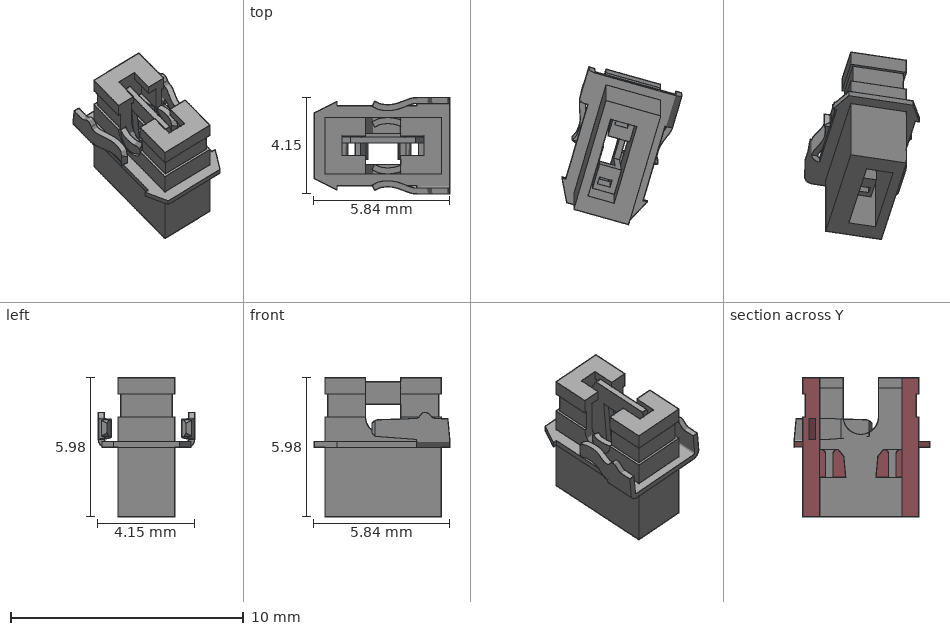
import cadquery as cq
import math

housing_length = 5.0
housing_width = 2.45
housing_height = 5.98
shoulder_z = 4.30
cap_z = 5.27
neck_inset = 0.11

notch_half_width = 0.755

cavity_half_length = 1.76
cap_slot_front_y = -0.41
cap_slot_back_y = 0.42
cavity_front_y = -0.80
cavity_back_y = 0.52
cavity_top_z = housing_height - 0.435
cavity_ledge_z = 3.30

sheet = 0.26
flange_z = 2.98
flange_half_width = 1.73
flange_left_x = -2.97
flange_right_x = 2.87
barb_x = -1.98
barb_half_width = 1.91
nose_half_width = 1.41

tab_outer_y = 2.075
tab_start_x = 1.44
tab_top_z = 4.225
tab_top_right_x = 2.785
hump_end_x = 2.28
bend_outer_radius = tab_outer_y - flange_half_width
bend_inner_radius = bend_outer_radius - sheet
bend_axis_z = flange_z + bend_outer_radius
tab_inner_y = tab_outer_y - sheet

bow_apex_x = 0.20
bow_apex_y = 1.51
bow_end_x = 0.67
bend_start_x = 1.11
arm_slope = math.radians(20)
tip_slope = math.radians(28)
tip_start_x = -0.16
tip_end_x = -0.36
tip_round_start = (tip_start_x, 4.18)
tip_round_middle = (-0.44, 4.07)
tip_round_end = (-0.55, 3.85)
tip_lower_corner = (-0.53, 3.65)
tip_foot = (-0.34, 3.46)

arm_mirror_y = 1.36
bridge_inner_x = 1.95
bridge_outer_x = bridge_inner_x + sheet

bar_top_z = 5.81
bar_bottom_z = 4.83
bar_half_length = 1.40
shoulder_drop = 0.67
leg_top_inner_x = 0.93
leg_bottom_inner_x = 0.645
plate_front_y = 0.11
plate_back_y = plate_front_y + sheet

socket_top_z = 2.90
socket_bottom_z = 1.70
socket_front_y = -0.60
socket_slot_start_x = 1.20
socket_slot_end_x = 1.51
socket_slot_front_y = -0.45
socket_lead_in = 0.2
prong_ridge_x = 0.98
prong_shoulder_z = 2.60


def block(x_range, y_range, z_range):
    """Box given by its limits along each axis."""
    (x0, x1), (y0, y1), (z0, z1) = x_range, y_range, z_range
    return cq.Workplane("XY").box(x1 - x0, y1 - y0, z1 - z0, centered=False).translate((x0, y0, z0))


def centred_block(length, width, z0, z1):
    return block((-length / 2, length / 2), (-width / 2, width / 2), (z0, z1))


def extrude_along_y(profile, y_range):
    """Extrude a closed XZ sketch between two Y positions."""
    y0, y1 = y_range
    return profile.extrude(-(y1 - y0)).translate((0, y0, 0))


def arm_plan():
    """Plan outline of the arm on the +Y side: flared tip, bow, straight run and bend into the tab."""
    outer_bow = (bow_end_x - bow_apex_x) / math.sin(arm_slope)
    inner_bow = outer_bow + sheet
    bow_centre_y = bow_apex_y + inner_bow

    def on_bow(radius, angle):
        return (bow_apex_x + radius * math.sin(angle), bow_centre_y - radius * math.cos(angle))

    outer_bend = (tab_start_x - bend_start_x) / math.sin(arm_slope)
    inner_bend = outer_bend - sheet
    bend_centre_y = tab_outer_y - outer_bend

    def on_bend(radius, angle):
        return (tab_start_x - radius * math.sin(angle), bend_centre_y + radius * math.cos(angle))

    tip_start_angle = math.asin((tip_start_x - bow_apex_x) / outer_bow)
    tip_length = (tip_start_x - tip_end_x) / math.cos(tip_slope)
    outer_tip_start = on_bow(outer_bow, tip_start_angle)
    outer_tip_end = (tip_end_x, outer_tip_start[1] + tip_length * math.sin(tip_slope))
    inner_tip_end = (
        outer_tip_end[0] - sheet * math.sin(tip_slope),
        outer_tip_end[1] - sheet * math.cos(tip_slope),
    )

    return (
        cq.Workplane("XY")
        .moveTo(*inner_tip_end)
        .lineTo(*on_bow(inner_bow, tip_start_angle))
        .threePointArc((bow_apex_x, bow_apex_y), on_bow(inner_bow, arm_slope))
        .lineTo(*on_bend(inner_bend, arm_slope))
        .threePointArc(on_bend(inner_bend, arm_slope / 2), (tab_start_x, tab_inner_y))
        .lineTo(tab_start_x, tab_outer_y)
        .threePointArc(on_bend(outer_bend, arm_slope / 2), on_bend(outer_bend, arm_slope))
        .lineTo(*on_bow(outer_bow, arm_slope))
        .threePointArc(on_bow(outer_bow, 0), outer_tip_start)
        .lineTo(*outer_tip_end)
        .close()
        .extrude(housing_height)
    )


def arm_side():
    """Side outline of the arm: slightly tapered strip with a rounded tip."""
    profile = (
        cq.Workplane("XZ")
        .moveTo(tab_start_x, bend_axis_z)
        .lineTo(*tip_foot)
        .lineTo(*tip_lower_corner)
        .lineTo(*tip_round_end)
        .threePointArc(tip_round_middle, tip_round_start)
        .lineTo(tab_start_x, tab_top_z)
        .close()
    )
    return extrude_along_y(profile, (0, tab_outer_y + sheet))


def spring_arm():
    return arm_plan().intersect(arm_side())


def flange():
    half_outline = [
        (flange_left_x, nose_half_width),
        (barb_x, barb_half_width),
        (barb_x, flange_half_width),
        (flange_right_x, flange_half_width),
    ]
    outline = half_outline + [(x, -y) for x, y in reversed(half_outline)]
    plate = cq.Workplane("XY").polyline(outline).close().extrude(sheet).translate((0, 0, flange_z))
    return plate.cut(centred_block(housing_length, housing_width, 0, housing_height))


def tab_bend():
    """Quarter-round bend joining the flange to a tab."""
    diagonal = math.sqrt(0.5)
    inner_mid = (
        flange_half_width + bend_inner_radius * diagonal,
        bend_axis_z - bend_inner_radius * diagonal,
    )
    outer_mid = (
        flange_half_width + bend_outer_radius * diagonal,
        bend_axis_z - bend_outer_radius * diagonal,
    )
    return (
        cq.Workplane("YZ")
        .moveTo(flange_half_width, flange_z)
        .threePointArc(outer_mid, (tab_outer_y, bend_axis_z))
        .lineTo(tab_inner_y, bend_axis_z)
        .threePointArc(inner_mid, (flange_half_width, flange_z + sheet))
        .close()
        .extrude(flange_right_x - tab_start_x)
        .translate((tab_start_x, 0, 0))
    )


def tab_plate():
    """Upright tab with a smooth hump on its top edge and a slanted end."""
    hump = [(2.08, 4.31), (1.86, 4.485), (1.71, 4.475), (1.53, 4.28), (tab_start_x, tab_top_z)]
    profile = (
        cq.Workplane("XZ")
        .moveTo(tab_start_x, bend_axis_z)
        .lineTo(flange_right_x, bend_axis_z)
        .lineTo(tab_top_right_x, tab_top_z)
        .lineTo(hump_end_x, tab_top_z)
        .spline(hump, includeCurrent=True)
        .close()
    )
    return extrude_along_y(profile, (tab_inner_y, tab_outer_y))


def make_clip():
    side = tab_bend().union(tab_plate()).union(spring_arm())
    return flange().union(side).union(side.mirror("XZ"))


def make_inner_clip():
    arm = spring_arm().mirror("XZ").translate((0, 2 * arm_mirror_y, 0))
    outer_y = 2 * arm_mirror_y - tab_inner_y
    inner_y = outer_y - sheet
    z_range = (bend_axis_z, tab_top_z)
    run = block((tab_start_x, bridge_outer_x), (inner_y, outer_y), z_range)
    bridge = block((bridge_inner_x, bridge_outer_x), (-outer_y, outer_y), z_range)
    side = arm.union(run)
    return bridge.union(side).union(side.mirror("XZ"))


def shunt_plate():
    shoulder_z_low = bar_top_z - shoulder_drop
    half_outline = [
        (bar_half_length, bar_top_z),
        (cavity_half_length, shoulder_z_low),
        (cavity_half_length, socket_bottom_z),
        (leg_bottom_inner_x, socket_bottom_z),
        (leg_top_inner_x, bar_bottom_z),
    ]
    outline = half_outline + [(-x, z) for x, z in reversed(half_outline)]
    return extrude_along_y(cq.Workplane("XZ").polyline(outline).close(), (plate_front_y, plate_back_y))


def socket():
    """Block in front of a leg, slotted from top to bottom, with rounded slot mouth."""
    lean = (leg_top_inner_x - leg_bottom_inner_x) / (bar_bottom_z - socket_bottom_z)
    shoulder_x = leg_bottom_inner_x + lean * (prong_shoulder_z - socket_bottom_z)
    corners = [
        (leg_bottom_inner_x, socket_bottom_z),
        (cavity_half_length, socket_bottom_z),
        (cavity_half_length, socket_top_z),
        (prong_ridge_x, socket_top_z),
        (shoulder_x, prong_shoulder_z),
    ]
    body = extrude_along_y(cq.Workplane("XZ").polyline(corners).close(), (socket_front_y, plate_front_y))
    slot = block(
        (socket_slot_start_x, socket_slot_end_x),
        (socket_slot_front_y, plate_front_y),
        (socket_bottom_z, socket_top_z),
    )
    mouth_edges = cq.selectors.BoxSelector(
        (socket_slot_start_x - socket_lead_in / 2, socket_slot_front_y, socket_top_z - socket_lead_in / 2),
        (socket_slot_end_x + socket_lead_in / 2, plate_front_y, socket_top_z + socket_lead_in / 2),
    )
    return body.cut(slot).edges(mouth_edges).edges("|Y").fillet(socket_lead_in)


def make_shunt():
    right_socket = socket()
    return shunt_plate().union(right_socket).union(right_socket.mirror("YZ"))


def notch():
    z_bottom = shoulder_z - notch_half_width
    profile = (
        cq.Workplane("XZ")
        .moveTo(-notch_half_width, housing_height)
        .lineTo(-notch_half_width, shoulder_z)
        .threePointArc((0, z_bottom), (notch_half_width, shoulder_z))
        .lineTo(notch_half_width, housing_height)
        .close()
    )
    return extrude_along_y(profile, (-housing_width / 2, housing_width / 2))


def cavity():
    """Through cavity: cap slot on top, wide chamber, narrower bore below a ledge."""
    corners = [
        (cap_slot_front_y, housing_height),
        (cap_slot_front_y, cavity_top_z),
        (cavity_front_y, cavity_top_z),
        (cavity_front_y, 0),
        (plate_back_y, 0),
        (plate_back_y, cavity_ledge_z),
        (cavity_back_y, cavity_ledge_z),
        (cavity_back_y, cavity_top_z),
        (cap_slot_back_y, cavity_top_z),
        (cap_slot_back_y, housing_height),
    ]
    return cq.Workplane("YZ").polyline(corners).close().extrude(cavity_half_length, both=True)


def make_housing(inner_clip):
    lower = centred_block(housing_length, housing_width, 0, shoulder_z)
    neck_length = housing_length - 2 * neck_inset
    neck_width = housing_width - 2 * neck_inset
    neck = centred_block(neck_length, neck_width, shoulder_z, cap_z)
    cap = centred_block(housing_length, housing_width, cap_z, housing_height)
    return lower.union(neck).union(cap).cut(cavity()).cut(notch()).cut(inner_clip)


clip = make_clip()
inner_clip = make_inner_clip()
shunt = make_shunt()
housing = make_housing(inner_clip)

result = cq.Compound.makeCompound([housing.val(), clip.val(), inner_clip.val(), shunt.val()])